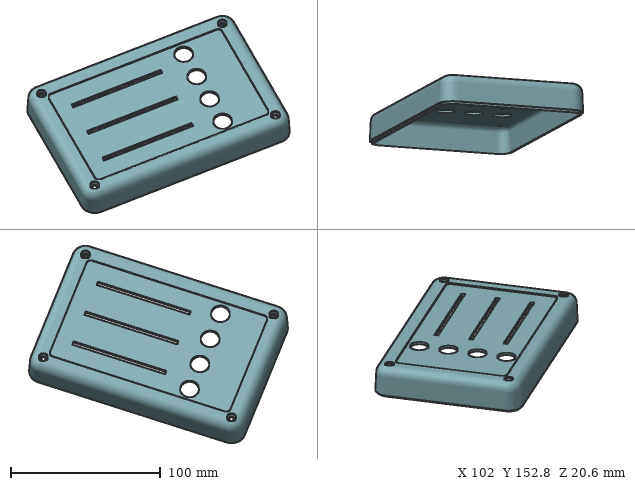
import cadquery as cq
length = 152.8
width = 102.0
height = 20.6
corner_radius = 9.6
edge_radius = 6.1
draft_angle = 2.7

lip_height = 1.5
lip_inset = 1.5

wall = 2.6
top_thickness = 2.9

panel_width = 77.3
panel_length = 128.0
panel_corner_radius = 3.0
panel_depth = 1.0

screw_spacing_x = width - 2 * corner_radius
screw_spacing_y = length - 2 * corner_radius
screw_diameter = 2.8
screw_head_diameter = 6.1
screw_head_depth = 1.2
screw_cone_diameter = 3.7
screw_cone_depth = 0.8

round_hole_count = 4
round_hole_diameter = 12.5
round_hole_pitch = 20.2
round_hole_y = 33.0

slot_count = 3
slot_width = 2.6
slot_length = 65.7
slot_pitch = 24.0
slot_y = -19.3


def rounded_block(size_x, size_y, radius, bottom, depth, taper=0.0):
    """Upright block with rounded corners, its outline given at the bottom."""
    outline = cq.Sketch().rect(size_x, size_y).vertices().fillet(radius)
    return cq.Workplane("XY").workplane(offset=bottom).placeSketch(outline).extrude(depth, taper=taper)


def make_shell():
    upper = rounded_block(width, length, corner_radius, lip_height, height - lip_height, draft_angle)
    upper = upper.faces(">Z").edges().fillet(edge_radius)
    lip = rounded_block(
        width - 2 * lip_inset, length - 2 * lip_inset, corner_radius - lip_inset, 0, lip_height
    )
    cavity = rounded_block(
        width - 2 * wall, length - 2 * wall, corner_radius - wall, 0, height - top_thickness, draft_angle
    )
    cavity = cavity.faces(">Z").edges().fillet(edge_radius - wall)
    return upper.union(lip).cut(cavity)


def cut_panel_recess(body):
    recess = rounded_block(
        panel_width, panel_length, panel_corner_radius, height - panel_depth, panel_depth
    )
    return body.cut(recess)


def make_screw_cutter():
    """Straight head recess, conical seat and tapering hole through the top, turned about Z."""
    head_radius = screw_head_diameter / 2
    cone_radius = screw_cone_diameter / 2
    hole_radius = screw_diameter / 2
    cone_top = height - screw_head_depth
    cone_bottom = cone_top - screw_cone_depth
    hole_bottom = height - top_thickness
    profile = [
        (0, hole_bottom),
        (hole_radius, hole_bottom),
        (cone_radius, cone_bottom),
        (head_radius, cone_top),
        (head_radius, height),
        (0, height),
    ]
    return cq.Workplane("XZ").polyline(profile).close().revolve(360, (0, 0, 0), (0, 1, 0))


def cut_screw_holes(body):
    cutter = make_screw_cutter()
    for side_x in (-1, 1):
        for side_y in (-1, 1):
            place = (side_x * screw_spacing_x / 2, side_y * screw_spacing_y / 2, 0)
            body = body.cut(cutter.translate(place))
    return body


def cut_panel_openings(body):
    bottom = cq.Workplane("XY")
    round_holes = (
        bottom.center(0, round_hole_y)
        .rarray(round_hole_pitch, 1.5, round_hole_count, 1)
        .circle(round_hole_diameter / 2)
        .extrude(height)
    )
    slots = (
        bottom.center(0, slot_y)
        .rarray(slot_pitch, 1.5, slot_count, 1)
        .rect(slot_width, slot_length)
        .extrude(height)
    )
    return body.cut(round_holes).cut(slots)


result = cut_panel_openings(cut_screw_holes(cut_panel_recess(make_shell())))